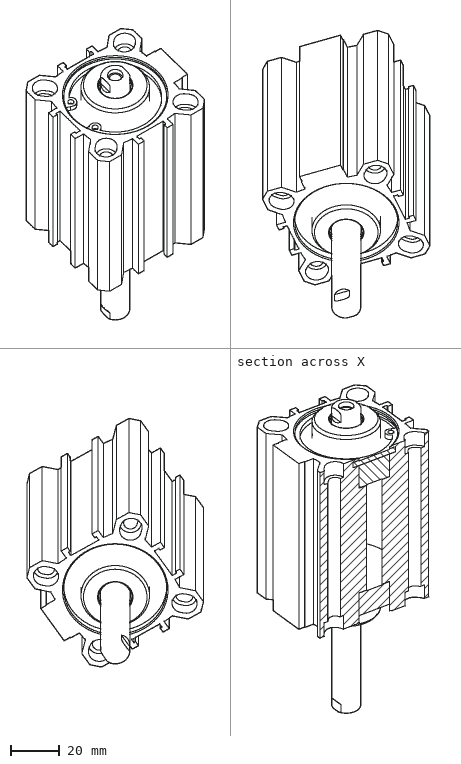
import cadquery as cq
import math

TOTAL_HEIGHT = 144.5
HOUSING_BOTTOM = 52.6
HOUSING_TOP = 132.2
HOUSING_LENGTH = HOUSING_TOP - HOUSING_BOTTOM
HOUSING_MIDDLE = (HOUSING_TOP + HOUSING_BOTTOM) / 2

HOUSING_WIDTH = 55.0
HOUSING_DEPTH = 58.0
HALF_SIZE = HOUSING_WIDTH / 2
CORNER_CHAMFER = 3.5
CORNER_INNER_EDGE = 17.9
WALL_FACE = 23.3
WALL_NECK = 22.8
NECK_POSITION = CORNER_INNER_EDGE - (HALF_SIZE - WALL_NECK)
RIB_OUTER_SIDE = 9.0
RIB_INNER_SIDE = 6.8
RIB_LIP_SIDE = 5.9
RIB_LIP_HEIGHT = 2.2
SIDE_RIB_TIP = 27.2
PORT_BLOCK_FACE = HOUSING_DEPTH - HALF_SIZE
PORT_BLOCK_SHOULDER = 27.6
PORT_BLOCK_BASE_HALF_WIDTH = 9.2
PORT_BLOCK_HALF_WIDTH = 9.0

MOUNT_OFFSET = 20.5
MOUNT_SLOT_STRETCH = 1.5
MOUNT_HOLE_DIAMETER = 5.5
MOUNT_COUNTERBORE_DIAMETER = 8.8
MOUNT_COUNTERBORE_DEPTH = 6.5

BORE_DIAMETER = 40.0
SEAT_DIAMETER = 42.2
SEAT_DEPTH = 14.5
SEAT_CHAMFER = 0.5

RING_DIAMETER = 44.7
RING_INNER_DIAMETER = 38.0
RING_RECESS = 1.5
RING_THICKNESS = 2.2
RING_TURN = -2.0
RING_GAP_ANGLE = 40.0
EAR_ANGLE = 27.8
EAR_RADIUS_POSITION = 18.4
EAR_DIAMETER = 4.9
EAR_HOLE_DIAMETER = 2.5

COVER_FACE_DEPTH = RING_RECESS + RING_THICKNESS
BOSS_DIAMETER = 28.0
BOSS_PROJECTION = 6.0
BOSS_CHAMFER_WIDTH = 1.0
BOSS_CHAMFER_HEIGHT = 1.3
BOSS_ROOT_FILLET = 0.7
WIPER_RECESS_DIAMETER = 13.7
WIPER_RECESS_DEPTH = 1.5
WIPER_RECESS_CHAMFER = 0.36
ROD_CLEARANCE_DIAMETER = 12.5

ROD_DIAMETER = 12.0
ROD_END_FILLET = 1.2
FLATS_WIDTH = 10.1
FLAT_LENGTH = 4.5
ROD_HOLE_DIAMETER = 4.9
ROD_HOLE_DEPTH = 13.0
ROD_HOLE_TIP_ANGLE = 160.0
ROD_COUNTERBORE_DIAMETER = 6.2
ROD_COUNTERBORE_DEPTH = 2.2


def disc(diameter, bottom, height):
    return cq.Workplane("XY").workplane(offset=bottom).circle(diameter / 2).extrude(height)


def prism(outline, bottom, height):
    return cq.Workplane("XY").workplane(offset=bottom).polyline(outline).close().extrude(height)


def mirrored_to_other_end(shape):
    """Reflect a shape through the middle height of the housing."""
    return shape.mirror("XY", (0, 0, HOUSING_MIDDLE))


def housing_core():
    """Square body with four corner blocks, without ribs or port block."""
    corner = [
        (WALL_FACE, RIB_OUTER_SIDE),
        (WALL_NECK, NECK_POSITION),
        (HALF_SIZE, CORNER_INNER_EDGE),
        (HALF_SIZE, HALF_SIZE - CORNER_CHAMFER),
    ]
    corner += [(y, x) for x, y in reversed(corner)]
    outline = []
    for quarter in range(4):
        turn = math.radians(90 * quarter)
        cosine, sine = round(math.cos(turn)), round(math.sin(turn))
        outline += [(x * cosine - y * sine, x * sine + y * cosine) for x, y in corner]
    return prism(outline, HOUSING_BOTTOM, HOUSING_LENGTH)


def rib_pair(tip, direction):
    """Two hooked ribs on one wall, with their lips facing each other."""
    lip_start = tip - RIB_LIP_HEIGHT
    outline = [
        (WALL_NECK, RIB_OUTER_SIDE),
        (tip, RIB_OUTER_SIDE),
        (tip, RIB_LIP_SIDE),
        (lip_start, RIB_LIP_SIDE),
        (lip_start, RIB_INNER_SIDE),
        (WALL_NECK, RIB_INNER_SIDE),
    ]
    rib = prism(outline, HOUSING_BOTTOM, HOUSING_LENGTH)
    return rib.union(rib.mirror("XZ")).rotate((0, 0, 0), (0, 0, 1), direction)


def port_block():
    half_outline = [
        (PORT_BLOCK_BASE_HALF_WIDTH, WALL_NECK),
        (PORT_BLOCK_BASE_HALF_WIDTH, PORT_BLOCK_SHOULDER),
        (PORT_BLOCK_HALF_WIDTH, PORT_BLOCK_SHOULDER),
        (PORT_BLOCK_HALF_WIDTH, PORT_BLOCK_FACE),
    ]
    outline = half_outline + [(-x, y) for x, y in reversed(half_outline)]
    return prism(outline, HOUSING_BOTTOM, HOUSING_LENGTH)


def mount_slots(diameter, bottom, height):
    slots = cq.Workplane("XY")
    for angle in (45, 135, 225, 315):
        slot = (
            cq.Workplane("XY")
            .workplane(offset=bottom)
            .center(MOUNT_OFFSET * math.sqrt(2), 0)
            .slot2D(diameter + MOUNT_SLOT_STRETCH, diameter)
            .extrude(height)
        )
        slots = slots.add(slot.rotate((0, 0, 0), (0, 0, 1), angle))
    return slots.combine()


def cover_seat():
    """Upper seat for a cover, with a chamfered mouth."""
    seat = disc(SEAT_DIAMETER, HOUSING_TOP - SEAT_DEPTH, SEAT_DEPTH)
    mouth = (
        cq.Workplane("XY")
        .workplane(offset=HOUSING_TOP)
        .circle(SEAT_DIAMETER / 2 + SEAT_CHAMFER)
        .workplane(offset=-SEAT_CHAMFER)
        .circle(SEAT_DIAMETER / 2)
        .loft()
    )
    return seat.union(mouth)


def make_housing():
    body = housing_core().union(port_block())
    for tip, direction in ((SIDE_RIB_TIP, 0), (SIDE_RIB_TIP, 180), (HALF_SIZE, 270)):
        body = body.union(rib_pair(tip, direction))

    counterbores = mount_slots(
        MOUNT_COUNTERBORE_DIAMETER, HOUSING_TOP - MOUNT_COUNTERBORE_DEPTH, MOUNT_COUNTERBORE_DEPTH
    )
    body = body.cut(mount_slots(MOUNT_HOLE_DIAMETER, HOUSING_BOTTOM, HOUSING_LENGTH))
    body = body.cut(disc(BORE_DIAMETER, HOUSING_BOTTOM, HOUSING_LENGTH))
    for end_cut in (counterbores, cover_seat()):
        body = body.cut(end_cut).cut(mirrored_to_other_end(end_cut))

    ring_groove = disc(RING_DIAMETER, HOUSING_TOP - COVER_FACE_DEPTH, RING_THICKNESS)
    return body.cut(ring_groove)


def make_cover():
    """Upper cover: a flange in the seat and a boss around the rod."""
    bottom = HOUSING_TOP - SEAT_DEPTH
    face = HOUSING_TOP - COVER_FACE_DEPTH
    end = HOUSING_TOP + BOSS_PROJECTION
    flange_radius = SEAT_DIAMETER / 2
    boss_radius = BOSS_DIAMETER / 2
    clearance_radius = ROD_CLEARANCE_DIAMETER / 2
    recess_radius = WIPER_RECESS_DIAMETER / 2
    root_centre = (boss_radius + BOSS_ROOT_FILLET, face + BOSS_ROOT_FILLET)
    root_reach = BOSS_ROOT_FILLET * math.sqrt(0.5)
    section = (
        cq.Workplane("XZ")
        .moveTo(clearance_radius, bottom)
        .lineTo(flange_radius, bottom)
        .lineTo(flange_radius, face)
        .lineTo(root_centre[0], face)
        .threePointArc(
            (root_centre[0] - root_reach, root_centre[1] - root_reach), (boss_radius, root_centre[1])
        )
        .lineTo(boss_radius, end - BOSS_CHAMFER_HEIGHT)
        .lineTo(boss_radius - BOSS_CHAMFER_WIDTH, end)
        .lineTo(recess_radius + WIPER_RECESS_CHAMFER, end)
        .lineTo(recess_radius, end - WIPER_RECESS_CHAMFER)
        .lineTo(recess_radius, end - WIPER_RECESS_DEPTH)
        .lineTo(clearance_radius, end - WIPER_RECESS_DEPTH)
        .close()
    )
    return section.revolve(360, (0, 0, 0), (0, 1, 0))


def make_retaining_ring():
    """Open ring with a drilled ear at each end of its gap."""
    bottom = HOUSING_TOP - COVER_FACE_DEPTH
    half_gap = math.radians(RING_GAP_ANGLE / 2)
    wedge_length = RING_DIAMETER
    wedge_x = wedge_length * math.sin(half_gap)
    wedge_y = -wedge_length * math.cos(half_gap)
    gap = prism([(0, 0), (wedge_x, wedge_y), (-wedge_x, wedge_y)], bottom, RING_THICKNESS)
    opening = disc(RING_INNER_DIAMETER, bottom, RING_THICKNESS)
    ring = disc(RING_DIAMETER, bottom, RING_THICKNESS).cut(opening).cut(gap)

    ear_x = EAR_RADIUS_POSITION * math.sin(math.radians(EAR_ANGLE))
    ear_y = -EAR_RADIUS_POSITION * math.cos(math.radians(EAR_ANGLE))
    for side in (-1, 1):
        ear_place = (side * ear_x, ear_y, 0)
        ring = ring.union(disc(EAR_DIAMETER, bottom, RING_THICKNESS).translate(ear_place))
        ring = ring.cut(disc(EAR_HOLE_DIAMETER, bottom, RING_THICKNESS).translate(ear_place))
    return ring.rotate((0, 0, 0), (0, 0, 1), RING_TURN)


def flat_cut():
    """Cutter for the wrench flat on the -Y side of the upper rod end, with a 45 degree run-out."""
    flat = FLATS_WIDTH / 2
    outside = ROD_DIAMETER / 2 + ROD_END_FILLET
    run_out = outside - flat
    flat_end = TOTAL_HEIGHT - FLAT_LENGTH
    return (
        cq.Workplane("YZ")
        .polyline([
            (-flat, TOTAL_HEIGHT),
            (-flat, flat_end),
            (-outside, flat_end - run_out),
            (-outside, TOTAL_HEIGHT),
        ])
        .close()
        .extrude(ROD_DIAMETER, both=True)
    )


def rod_end_hole():
    """Stepped hole with a conical bottom in the upper rod end."""
    hole_radius = ROD_HOLE_DIAMETER / 2
    counterbore_radius = ROD_COUNTERBORE_DIAMETER / 2
    counterbore_floor = TOTAL_HEIGHT - ROD_COUNTERBORE_DEPTH
    hole_floor = TOTAL_HEIGHT - ROD_HOLE_DEPTH
    tip_height = hole_radius / math.tan(math.radians(ROD_HOLE_TIP_ANGLE / 2))
    section = (
        cq.Workplane("XZ")
        .polyline([
            (0, TOTAL_HEIGHT),
            (counterbore_radius, TOTAL_HEIGHT),
            (counterbore_radius, counterbore_floor),
            (hole_radius, counterbore_floor),
            (hole_radius, hole_floor),
            (0, hole_floor - tip_height),
        ])
        .close()
    )
    return section.revolve(360, (0, 0, 0), (0, 1, 0))


def make_rod():
    rod = disc(ROD_DIAMETER, 0, TOTAL_HEIGHT).edges("%CIRCLE").fillet(ROD_END_FILLET)
    for end_cut in (flat_cut(), flat_cut().mirror("XZ")):
        rod = rod.cut(end_cut).cut(end_cut.mirror("XY", (0, 0, TOTAL_HEIGHT / 2)))
    return rod.cut(rod_end_hole())


housing = make_housing()
upper_cover = make_cover()
lower_cover = mirrored_to_other_end(upper_cover)
retaining_ring = make_retaining_ring()
rod = make_rod()

result = cq.Compound.makeCompound([
    housing.val(),
    upper_cover.val(),
    lower_cover.val(),
    retaining_ring.val(),
    rod.val(),
])